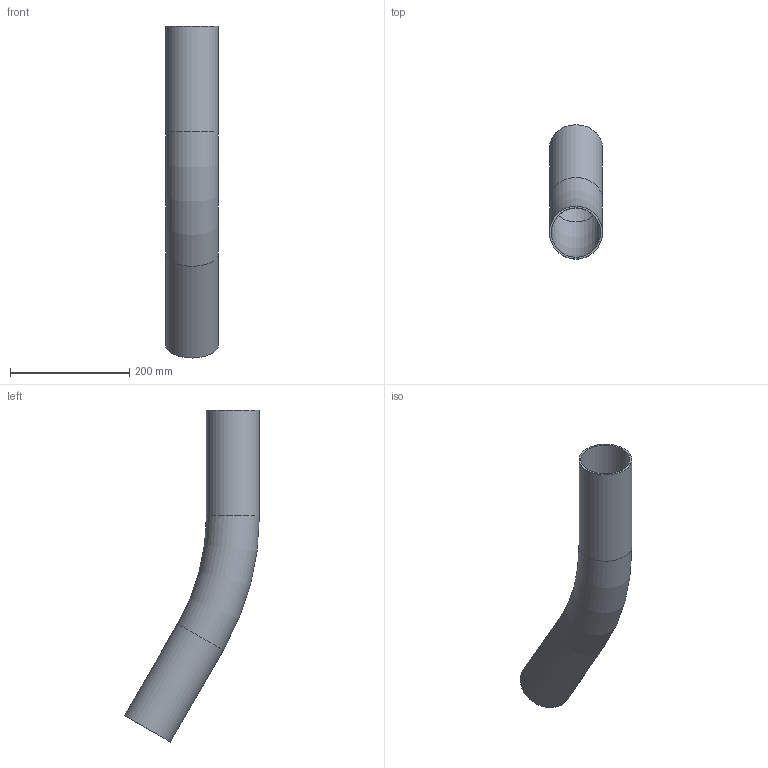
import cadquery as cq
import math

outer_diameter = 88.9
inner_diameter = 82.8
bend_angle = 30.0
bend_radius = 406.4
straight_length = 177.8


def bend_point(angle):
    """Point (y, z) on the bend centreline, turned by the angle in degrees from its upper end."""
    turn = math.radians(angle)
    return bend_radius * (1 - math.cos(turn)), -bend_radius * math.sin(turn)


def pipe_centreline():
    """Vertical upper leg, arc toward +Y, then a sloping lower leg tangent to the arc."""
    lower_y, lower_z = bend_point(bend_angle)
    slope = math.radians(bend_angle)
    end_y = lower_y + straight_length * math.sin(slope)
    end_z = lower_z - straight_length * math.cos(slope)
    return (
        cq.Workplane("YZ")
        .moveTo(0, straight_length)
        .lineTo(0, 0)
        .threePointArc(bend_point(bend_angle / 2), (lower_y, lower_z))
        .lineTo(end_y, end_z)
    )


def bent_pipe():
    """Annular section swept along the centreline, open at both ends."""
    return (
        cq.Workplane("XY", origin=(0, 0, straight_length))
        .circle(outer_diameter / 2)
        .circle(inner_diameter / 2)
        .sweep(pipe_centreline())
    )


result = bent_pipe()